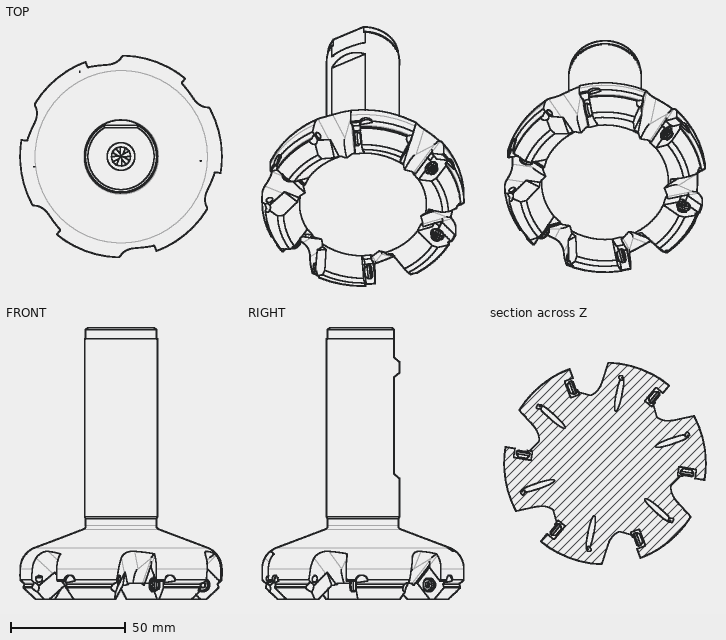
import cadquery as cq
import math

TOTAL_HEIGHT = 118.9

SHANK_DIAMETER = 32.0
SHANK_RADIUS = SHANK_DIAMETER / 2
RELIEF_RADIUS = 15.6
PILOT_BOTTOM = 114.0
SHANK_BOTTOM = 36.1
NECK_TOP = 35.2
NECK_BOTTOM = 32.3
TOP_CHAMFER_HEIGHT = 0.8
TOP_CHAMFER_WIDTH = 1.1

FLAT_OFFSET = 13.7
FLAT_RUNOUT = 1.9
LOWER_FLAT_BOTTOM = 54.8
LOWER_FLAT_TOP = 97.3
UPPER_FLAT_BOTTOM = 105.8

BORE_RADIUS = 4.2
BORE_BOTTOM = 15.5
BORE_MOUTH_RADIUS = 6.1
BORE_MOUTH_DEPTH = 3.6
PASSAGE_RADIUS = 1.2
PASSAGE_BEND_HEIGHT = 10.7
PASSAGE_BEND_RADIUS = 38.0
PASSAGE_BEND_ANGLE = 32.0
PORT_RADIUS = 1.4
PORT_EXIT_RADIAL = 38.0
PORT_EXIT_FORWARD = 15.1
PORT_EXIT_HEIGHT = 8.9
PORT_OVERSHOOT = 1.8

HEAD_RADIUS = 44.2
RIM_RADIUS = 10.0
RIM_CENTRE_HEIGHT = 13.3
CONE_ANGLE = 20.7
CONE_TOP_RADIUS = 16.4
RIM_BOTTOM = 8.5
BAND_RADIUS = 42.8
BAND_GROOVE_RADIUS = 42.3
BAND_TOP = 7.1
BAND_GROOVE_HEIGHT = 6.7
BAND_RIDGE_HEIGHT = 5.5
BEVEL_TOP = 5.0
FOOT_RADIUS = 37.5
DISH_RADIUS = 34.8
DISH_DEPTH = 7.0

STATIONS = 6
FIRST_SEAT_ANGLE = 50.5
LEAD_ANGLE = 45.0

GULLET_CORNER_OUT = 12.1
GULLET_CORNER_ALONG = 41.5
GULLET_CORNER_FORWARD = 12.5
GULLET_YAW = 22.2
GULLET_FLOOR_RISE = 0.27
GULLET_WALL_FLARE = 0.7
GULLET_BACK_FILLET = 6.0
GULLET_SEAT_OUT = 15.3
GULLET_SEAT_FILLET = 1.2
GULLET_REACH = 47.6
BACK_RELIEF_ALONG = 31.6
BACK_RELIEF_OUT = 15.0
BACK_RELIEF_YAW = 8.0
TIP_RELIEF_RADIUS = 2.6
TIP_RELIEF_RADIAL = 39.7
TIP_RELIEF_FORWARD = 16.8
TIP_RELIEF_HEIGHT = 4.6

INSERT_HALF = 6.5
INSERT_THICKNESS = 3.9
INSERT_OUT = 21.0
INSERT_ALONG = 30.0
SEAT_CORNER_RELIEF = 1.9
RIM_RECESS_RADIUS = 2.6
RIM_RECESS_HEIGHT = 8.0
RIM_RECESS_BACK = 6.7

SCREW_HEAD_RADIUS = 3.0
SCREW_FACE_RADIUS = 2.4
SCREW_RADIUS = 1.9
SCREW_TOP = -0.6
SCREW_RIM = -1.2
SCREW_RIM_END = -2.1
SCREW_CONE_END = -3.5
SCREW_END = -10.7
SOCKET_SIDES = 6
SOCKET_RADIUS = 1.3
SOCKET_DEPTH = 1.4


LEAD = math.radians(LEAD_ANGLE)
OUT = cq.Vector(math.sin(LEAD), 0, -math.cos(LEAD))
ALONG = cq.Vector(math.cos(LEAD), 0, math.sin(LEAD))
FORWARD = cq.Vector(0, -1, 0)


def station_point(out, along, forward):
    return OUT * out + ALONG * along + FORWARD * forward


def seat_plane(out, along, forward):
    return cq.Plane(origin=station_point(out, along, forward), xDir=OUT, normal=FORWARD)


def at_stations(shape):
    step = 360 / STATIONS
    return [shape.rotate((0, 0, 0), (0, 0, 1), FIRST_SEAT_ANGLE + i * step) for i in range(STATIONS)]


def make_blank():
    cone = math.radians(CONE_ANGLE)
    rim_centre = HEAD_RADIUS - RIM_RADIUS
    rim_top_radius = rim_centre + RIM_RADIUS * math.sin(cone)
    rim_top_height = RIM_CENTRE_HEIGHT + RIM_RADIUS * math.cos(cone)
    rim_mid = (math.pi / 2 - cone) / 2
    cone_top_height = rim_top_height + (rim_top_radius - CONE_TOP_RADIUS) * math.tan(cone)
    profile = (
        cq.Workplane("XZ")
        .moveTo(0, DISH_DEPTH)
        .lineTo(DISH_RADIUS - DISH_DEPTH, DISH_DEPTH)
        .lineTo(DISH_RADIUS, 0)
        .lineTo(FOOT_RADIUS, 0)
        .lineTo(BAND_RADIUS, BEVEL_TOP)
        .lineTo(BAND_RADIUS, BAND_RIDGE_HEIGHT)
        .lineTo(BAND_GROOVE_RADIUS, BAND_GROOVE_HEIGHT)
        .lineTo(BAND_RADIUS, BAND_TOP)
        .lineTo(HEAD_RADIUS, RIM_BOTTOM)
        .lineTo(HEAD_RADIUS, RIM_CENTRE_HEIGHT)
        .threePointArc(
            (rim_centre + RIM_RADIUS * math.cos(rim_mid), RIM_CENTRE_HEIGHT + RIM_RADIUS * math.sin(rim_mid)),
            (rim_top_radius, rim_top_height),
        )
        .lineTo(CONE_TOP_RADIUS, cone_top_height)
        .tangentArcPoint((RELIEF_RADIUS, NECK_BOTTOM), relative=False)
        .lineTo(RELIEF_RADIUS, NECK_TOP)
        .lineTo(SHANK_RADIUS, SHANK_BOTTOM)
        .lineTo(SHANK_RADIUS, PILOT_BOTTOM)
        .lineTo(RELIEF_RADIUS, PILOT_BOTTOM)
        .lineTo(RELIEF_RADIUS, TOTAL_HEIGHT)
        .lineTo(0, TOTAL_HEIGHT)
        .close()
    )
    return profile.revolve(360, (0, 0, 0), (0, 1, 0))


def make_flat(bottom, top, top_runout):
    depth = SHANK_RADIUS - FLAT_OFFSET
    outline = [
        (FLAT_OFFSET, bottom),
        (FLAT_OFFSET + depth, bottom - FLAT_RUNOUT),
        (FLAT_OFFSET + depth, top + top_runout),
        (FLAT_OFFSET, top),
    ]
    return cq.Workplane("YZ").polyline(outline).close().extrude(SHANK_RADIUS, both=True)


def make_bore():
    outline = [
        (0, TOTAL_HEIGHT),
        (BORE_MOUTH_RADIUS, TOTAL_HEIGHT),
        (BORE_RADIUS, TOTAL_HEIGHT - BORE_MOUTH_DEPTH),
        (BORE_RADIUS, BORE_BOTTOM),
        (0, BORE_BOTTOM),
    ]
    return cq.Workplane("XZ").polyline(outline).close().revolve(360, (0, 0, 0), (0, 1, 0))


def make_gullet_run(corner, yaw, rise, floor_rise):
    """Prism behind the back wall; it runs down from the given corner point, and up by rise."""
    turn = math.radians(yaw)
    run = ALONG * math.cos(turn) + FORWARD * math.sin(turn)
    down_plane = cq.Plane(origin=corner + run * rise, xDir=OUT, normal=run * -1)
    flare = GULLET_WALL_FLARE * GULLET_REACH * math.cos(turn)
    outline = [
        (0, 0),
        (GULLET_REACH, flare),
        (GULLET_REACH, -GULLET_REACH),
        (floor_rise * GULLET_REACH, -GULLET_REACH),
    ]
    return cq.Workplane(down_plane).polyline(outline).close().extrude(rise + GULLET_REACH)


def make_front_of_seat():
    """Space ahead of the seat face, with a rounded corner where the floor meets the face."""
    outline = [
        (GULLET_SEAT_OUT, 0),
        (GULLET_REACH, 0),
        (GULLET_REACH, GULLET_REACH),
        (GULLET_SEAT_OUT - GULLET_REACH / 2, GULLET_REACH),
    ]
    plane = cq.Plane(origin=ALONG * GULLET_REACH, xDir=OUT, normal=ALONG * -1)
    space = cq.Workplane(plane).polyline(outline).close().extrude(2 * GULLET_REACH)
    corner = station_point(GULLET_SEAT_OUT, 0, 0)
    return space.edges(cq.NearestToPointSelector(corner.toTuple())).fillet(GULLET_SEAT_FILLET)


def make_gullet():
    corner = station_point(GULLET_CORNER_OUT, GULLET_CORNER_ALONG, GULLET_CORNER_FORWARD)
    gullet = make_gullet_run(corner, GULLET_YAW, GULLET_REACH, GULLET_FLOOR_RISE)
    gullet = gullet.edges(cq.NearestToPointSelector(corner.toTuple())).fillet(GULLET_BACK_FILLET)

    wall_shift = GULLET_WALL_FLARE * (BACK_RELIEF_OUT - GULLET_CORNER_OUT)
    yaw_shift = (GULLET_CORNER_ALONG - BACK_RELIEF_ALONG) * math.tan(math.radians(GULLET_YAW))
    relief_forward = GULLET_CORNER_FORWARD + wall_shift - yaw_shift
    relief_corner = station_point(BACK_RELIEF_OUT, BACK_RELIEF_ALONG, relief_forward)
    back_relief = make_gullet_run(relief_corner, BACK_RELIEF_YAW, 0, 0)
    return gullet.union(back_relief).intersect(make_front_of_seat())


def make_tip_relief():
    centre = (TIP_RELIEF_RADIAL, -TIP_RELIEF_FORWARD, TIP_RELIEF_HEIGHT)
    return cq.Workplane("XY").sphere(TIP_RELIEF_RADIUS).translate(centre)


def make_seat():
    size = 2 * INSERT_HALF
    floor = seat_plane(INSERT_OUT, INSERT_ALONG, -INSERT_THICKNESS)
    recess = cq.Workplane(floor).rect(size, size).extrude(INSERT_THICKNESS)
    outer = recess.translate(OUT * INSERT_HALF)
    lower = recess.translate(ALONG * -INSERT_HALF)
    both = recess.translate(OUT * INSERT_HALF - ALONG * INSERT_HALF)
    relief = (
        cq.Workplane(floor)
        .center(-INSERT_HALF, INSERT_HALF)
        .circle(SEAT_CORNER_RELIEF)
        .extrude(INSERT_THICKNESS)
    )
    return recess.union(outer).union(lower).union(both).union(relief)


def make_rim_recess():
    return (
        cq.Workplane("YZ", origin=(BAND_RADIUS, RIM_RECESS_BACK, RIM_RECESS_HEIGHT))
        .circle(RIM_RECESS_RADIUS)
        .extrude(HEAD_RADIUS - BAND_RADIUS)
    )


def make_rod(start, end, radius):
    axis = end - start
    return cq.Workplane(cq.Solid.makeCylinder(radius, axis.Length, start, axis))


def make_coolant_passage():
    bend_angle = math.radians(PASSAGE_BEND_ANGLE)
    bend = cq.Vector(
        PASSAGE_BEND_RADIUS * math.cos(bend_angle),
        -PASSAGE_BEND_RADIUS * math.sin(bend_angle),
        PASSAGE_BEND_HEIGHT,
    )
    exit_point = cq.Vector(PORT_EXIT_RADIAL, -PORT_EXIT_FORWARD, PORT_EXIT_HEIGHT)
    beyond = exit_point + (exit_point - bend).normalized() * PORT_OVERSHOOT
    passage = make_rod(cq.Vector(0, 0, BORE_BOTTOM + PASSAGE_RADIUS), bend, PASSAGE_RADIUS)
    return passage.union(make_rod(bend, beyond, PORT_RADIUS))


def make_screw_hole():
    return (
        cq.Workplane(seat_plane(INSERT_OUT, INSERT_ALONG, SCREW_END))
        .circle(SCREW_RADIUS)
        .extrude(-SCREW_END - INSERT_THICKNESS)
    )


def make_screw():
    outline = [
        (0, SCREW_END),
        (SCREW_RADIUS, SCREW_END),
        (SCREW_RADIUS, SCREW_CONE_END),
        (SCREW_HEAD_RADIUS, SCREW_RIM_END),
        (SCREW_HEAD_RADIUS, SCREW_RIM),
        (SCREW_FACE_RADIUS, SCREW_TOP),
        (0, SCREW_TOP),
    ]
    axis_plane = cq.Plane(origin=station_point(INSERT_OUT, INSERT_ALONG, 0), xDir=OUT, normal=ALONG * -1)
    screw = cq.Workplane(axis_plane).polyline(outline).close().revolve(360, (0, 0, 0), (0, 1, 0))
    socket = (
        cq.Workplane(seat_plane(INSERT_OUT, INSERT_ALONG, SCREW_TOP))
        .polygon(SOCKET_SIDES, 2 * SOCKET_RADIUS)
        .extrude(-SOCKET_DEPTH)
    )
    return screw.cut(socket)


def make_body():
    body = make_blank()
    body = body.cut(make_flat(LOWER_FLAT_BOTTOM, LOWER_FLAT_TOP, FLAT_RUNOUT))
    body = body.cut(make_flat(UPPER_FLAT_BOTTOM, TOTAL_HEIGHT, 0))
    body = body.faces(">Z").chamfer(TOP_CHAMFER_HEIGHT, TOP_CHAMFER_WIDTH)
    body = body.cut(make_bore())
    station_features = [
        make_gullet(),
        make_tip_relief(),
        make_seat(),
        make_rim_recess(),
        make_coolant_passage(),
        make_screw_hole(),
    ]
    for feature in station_features:
        for copy in at_stations(feature):
            body = body.cut(copy)
    return body


body = make_body()
screws = [screw.val() for screw in at_stations(make_screw())]
result = cq.Compound.makeCompound([body.val(), *screws])